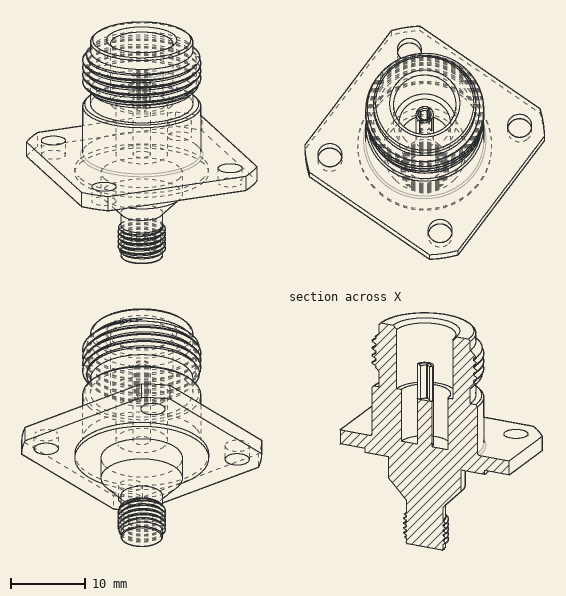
import cadquery as cq
import math

small_thread_bottom = 0.75
small_thread_top = 4.5
cone_bottom = 6.3
cone_top = 9.0
pilot_bottom = 12.08
flange_bottom = 12.67
flange_top = 14.75
body_top = 22.0
large_thread_bottom = 24.15
large_thread_top = 29.73
total_height = 31.3

small_neck_radius = 2.82
shank_radius = 5.48
pilot_radius = 9.0
body_radius = 7.95
large_neck_radius = 6.88

small_end_chamfer = 0.13
body_chamfer = 0.28
large_end_chamfer = 0.28
body_root_fillet = 0.28

large_thread_pitch = 1.05
large_thread_radius = 7.95
large_thread_ridge = 27.65
small_thread_four_turns = 2.82
small_thread_pitch = small_thread_four_turns / 4
small_thread_radius = 3.2
small_thread_ridge = 2.38

flange_side = 25.4
flange_corner_radius = 16.15
hole_spacing = 18.27
hole_radius = 1.63

socket_radius = 4.2
socket_chamfer = 0.53
socket_depth = 9.07
recess_radius = 3.47
recess_floor = flange_top

pin_radius = 1.15
pin_top = 26.28
pin_hole_radius = 0.65
pin_hole_chamfer = 0.22
pin_hole_depth = 5.0
slot_width = 0.13


def cylinder(radius, bottom, top):
    return cq.Workplane("XY").workplane(offset=bottom).circle(radius).extrude(top - bottom)


def thread_groove(pitch, major_radius, start, turn_count):
    """Right-hand 60 degree groove, built turn by turn upward from a start level on the +X side."""
    depth = 5 / 8 * pitch * math.cos(math.radians(30))
    flank_slope = math.tan(math.radians(30))
    clearance = pitch / 16
    root_radius = major_radius - depth
    outer_radius = major_radius + clearance
    root_half_width = pitch / 8
    outer_half_width = root_half_width + (depth + clearance) * flank_slope
    corners = [
        (root_radius, -root_half_width),
        (outer_radius, -outer_half_width),
        (outer_radius, outer_half_width),
        (root_radius, root_half_width),
    ]

    def end_face(level):
        points = [cq.Vector(radius, 0, level + offset) for radius, offset in corners]
        return cq.Face.makeFromWires(cq.Wire.makePolygon(points, close=True))

    faces = [end_face(start), end_face(start + turn_count * pitch)]
    for turn in range(turn_count):
        level = start + turn * pitch
        edges = [
            cq.Wire.makeHelix(pitch, pitch, radius, center=cq.Vector(0, 0, level + offset)).Edges()[0]
            for radius, offset in corners
        ]
        faces += [cq.Face.makeRuledSurface(edges[i - 1], edges[i]) for i in range(len(edges))]
    return cq.Workplane(obj=cq.Solid.makeSolid(cq.Shell.makeShell(faces)))


def threaded_collar(pitch, major_radius, neck_radius, ridge_level, bottom, top):
    """Threaded length whose groove runs out through 45 degree cones down to the neck."""
    run_out = major_radius - neck_radius
    collar = cylinder(major_radius, bottom, top).faces("<Z or >Z").chamfer(run_out)

    groove_level = ridge_level - pitch / 2
    first_turn = math.floor((bottom - groove_level) / pitch - 0.5)
    last_turn = math.floor((top - groove_level) / pitch + 0.5)
    start = groove_level + first_turn * pitch
    return collar.cut(thread_groove(pitch, major_radius, start, last_turn - first_turn + 1))


def turned_body():
    small_neck = cylinder(small_neck_radius, 0, cone_bottom).faces("<Z").chamfer(small_end_chamfer)
    cone = (
        cq.Workplane("XY").workplane(offset=cone_bottom).circle(small_neck_radius)
        .workplane(offset=cone_top - cone_bottom).circle(shank_radius).loft()
    )
    shank = cylinder(shank_radius, cone_top, pilot_bottom)
    pilot = cylinder(pilot_radius, pilot_bottom, flange_bottom)
    body = cylinder(body_radius, flange_top, body_top).faces(">Z").chamfer(body_chamfer)
    large_neck = cylinder(large_neck_radius, body_top, total_height)
    large_neck = large_neck.faces(">Z").chamfer(large_end_chamfer)
    return small_neck.union(cone).union(shank).union(pilot).union(body).union(large_neck)


def root_fillet():
    """Concave ring blending the body into the top of the flange."""
    return (
        cq.Workplane("XZ")
        .moveTo(body_radius - body_root_fillet, flange_top)
        .lineTo(body_radius + body_root_fillet, flange_top)
        .radiusArc((body_radius, flange_top + body_root_fillet), body_root_fillet)
        .lineTo(body_radius - body_root_fillet, flange_top + body_root_fillet)
        .close()
        .revolve(360, (0, 0, 0), (0, 1, 0))
    )


def flange():
    thickness = flange_top - flange_bottom
    plate = (
        cq.Workplane("XY").workplane(offset=flange_bottom)
        .rect(flange_side, flange_side).extrude(thickness)
    )
    plate = plate.intersect(cylinder(flange_corner_radius, flange_bottom, flange_top))
    holes = (
        cq.Workplane("XY").workplane(offset=flange_bottom)
        .rect(hole_spacing, hole_spacing, forConstruction=True).vertices()
        .circle(hole_radius).extrude(thickness)
    )
    return plate.cut(holes)


def flared_hole(radius, flare, bottom, top):
    """Cutter for a round hole with a 45 degree flare at its top."""
    return (
        cq.Workplane("XZ")
        .moveTo(0, bottom)
        .lineTo(radius, bottom)
        .lineTo(radius, top - flare)
        .lineTo(radius + flare, top)
        .lineTo(0, top)
        .close()
        .revolve(360, (0, 0, 0), (0, 1, 0))
    )


def socket():
    wide_bore = flared_hole(socket_radius, socket_chamfer, total_height - socket_depth, total_height)
    return wide_bore.union(cylinder(recess_radius, recess_floor, total_height - socket_depth))


def contact_pin():
    hole_bottom = pin_top - pin_hole_depth
    pin = cylinder(pin_radius, recess_floor, pin_top)
    pin = pin.cut(flared_hole(pin_hole_radius, pin_hole_chamfer, hole_bottom, pin_top))
    for angle in (0, 90):
        slot = (
            cq.Workplane("XY").workplane(offset=hole_bottom)
            .rect(2 * pin_radius, slot_width).extrude(pin_hole_depth)
            .rotate((0, 0, 0), (0, 0, 1), angle)
        )
        pin = pin.cut(slot)
    return pin


large_thread = threaded_collar(
    large_thread_pitch, large_thread_radius, large_neck_radius,
    large_thread_ridge, large_thread_bottom, large_thread_top,
)
small_thread = threaded_collar(
    small_thread_pitch, small_thread_radius, small_neck_radius,
    small_thread_ridge, small_thread_bottom, small_thread_top,
)

result = turned_body().union(flange()).union(root_fillet())
result = result.union(large_thread).union(small_thread)
result = result.cut(socket()).union(contact_pin())